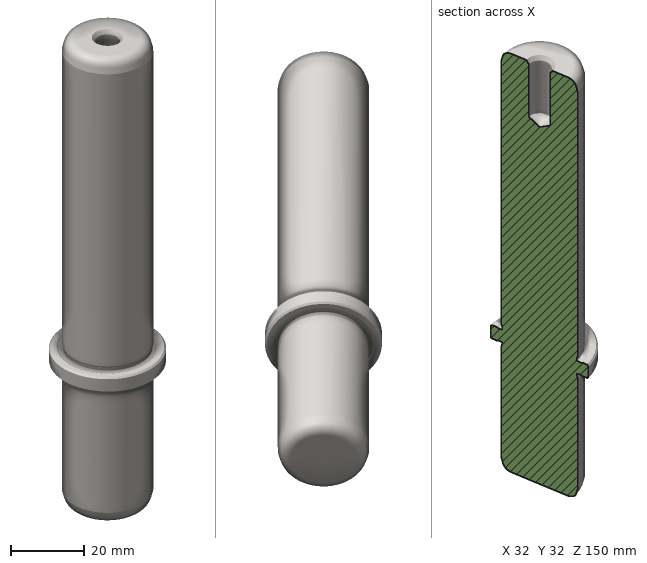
import math

import cadquery as cq

LENGTH = 150.0
SHAFT_RADIUS = 12.5

END_LENGTH = 4.0
TAPER_ANGLE = math.radians(15.0)
RIM_RADIUS = 3.0

COLLAR_RADIUS = 16.0
COLLAR_BOTTOM = 45.0
COLLAR_TOP = 50.0
COLLAR_CHAMFER = 0.5

RELIEF_LENGTH = 1.3
RELIEF_DEPTH = 0.3
FACE_RELIEF_WIDTH = 1.4
FACE_RELIEF_DEPTH = 0.2
FACE_RELIEF_SLOPE_WIDTH = 0.4
UPPER_RUNOUT_LENGTH = 0.4
RELIEF_CORNER_RADIUS = 0.2
LOWER_RUNOUT_LENGTH = 0.9

HOLE_RADIUS = 3.375
HOLE_DEPTH = 20.0
HOLE_MOUTH_RADIUS = 4.3
HOLE_MOUTH_DEPTH = 1.2
DRILL_HALF_ANGLE = math.radians(59.0)


def make_shaft():
    """Turned pin with identical tapered and rounded ends."""
    rim_drop = RIM_RADIUS * (1 - math.sin(TAPER_ANGLE))
    taper_radius = SHAFT_RADIUS - (END_LENGTH - rim_drop) * math.tan(TAPER_ANGLE)
    face_radius = taper_radius - RIM_RADIUS * math.cos(TAPER_ANGLE)

    mid_angle = (math.pi / 2 + TAPER_ANGLE) / 2
    mid_radius = face_radius + RIM_RADIUS * math.cos(mid_angle)
    mid_drop = RIM_RADIUS * (1 - math.sin(mid_angle))

    profile = (
        cq.Workplane("XZ")
        .lineTo(face_radius, 0)
        .threePointArc((mid_radius, mid_drop), (taper_radius, rim_drop))
        .lineTo(SHAFT_RADIUS, END_LENGTH)
        .lineTo(SHAFT_RADIUS, LENGTH - END_LENGTH)
        .lineTo(taper_radius, LENGTH - rim_drop)
        .threePointArc((mid_radius, LENGTH - mid_drop), (face_radius, LENGTH))
        .lineTo(0, LENGTH)
        .close()
    )
    return profile.revolve(360, (0, 0, 0), (0, 1, 0))


def make_collar():
    """Flat ring with both outer edges chamfered."""
    collar = cq.Workplane("XY", origin=(0, 0, COLLAR_BOTTOM))
    collar = collar.circle(COLLAR_RADIUS).extrude(COLLAR_TOP - COLLAR_BOTTOM)
    return collar.edges().chamfer(COLLAR_CHAMFER)


def make_relief(face_z, away, runout_length):
    """Ring cutter for the corner at a collar face; away is +1 or -1, pointing off the collar."""
    root_radius = SHAFT_RADIUS - RELIEF_DEPTH
    root_z = face_z - away * FACE_RELIEF_DEPTH
    corner_shift = RELIEF_CORNER_RADIUS * (1 - math.sqrt(0.5))
    shaft_end_z = face_z + away * RELIEF_LENGTH

    profile = (
        cq.Workplane("XZ")
        .moveTo(SHAFT_RADIUS, shaft_end_z)
        .lineTo(root_radius, shaft_end_z - away * runout_length)
        .lineTo(root_radius, root_z + away * RELIEF_CORNER_RADIUS)
        .threePointArc(
            (root_radius + corner_shift, root_z + away * corner_shift),
            (root_radius + RELIEF_CORNER_RADIUS, root_z),
        )
        .lineTo(SHAFT_RADIUS + FACE_RELIEF_WIDTH - FACE_RELIEF_SLOPE_WIDTH, root_z)
        .lineTo(SHAFT_RADIUS + FACE_RELIEF_WIDTH, face_z)
        .lineTo(SHAFT_RADIUS, face_z)
        .close()
    )
    return profile.revolve(360, (0, 0, 0), (0, 1, 0))


def make_hole():
    """Cutter for the drilled hole with its cone bottom and chamfered mouth."""
    bottom_z = LENGTH - HOLE_DEPTH
    tip_z = bottom_z - HOLE_RADIUS / math.tan(DRILL_HALF_ANGLE)
    profile = (
        cq.Workplane("XZ")
        .moveTo(0, tip_z)
        .lineTo(HOLE_RADIUS, bottom_z)
        .lineTo(HOLE_RADIUS, LENGTH - HOLE_MOUTH_DEPTH)
        .lineTo(HOLE_MOUTH_RADIUS, LENGTH)
        .lineTo(0, LENGTH)
        .close()
    )
    return profile.revolve(360, (0, 0, 0), (0, 1, 0))


result = make_shaft().union(make_collar())
result = result.cut(make_relief(COLLAR_TOP, 1, UPPER_RUNOUT_LENGTH))
result = result.cut(make_relief(COLLAR_BOTTOM, -1, LOWER_RUNOUT_LENGTH))
result = result.cut(make_hole())